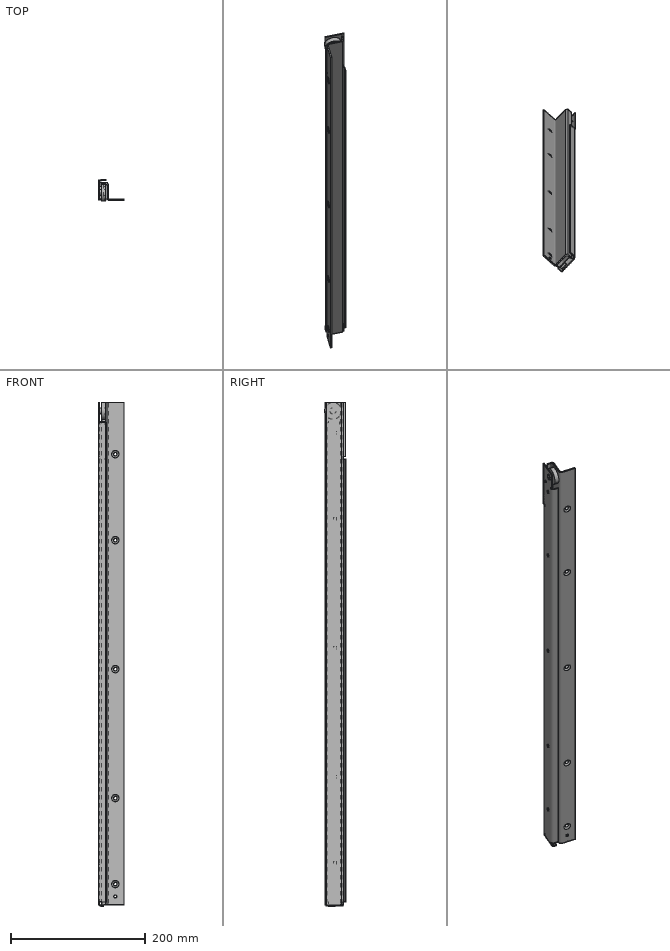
import cadquery as cq
import math

length = 750.0
overall_width = 38.5
overall_depth = 31.75

rail_sheet = 1.5
rail_bend_radius = 4.0
rail_bottom = 1.75
rail_lip_reach = 11.3
web_top_edge = 31.2
lip_foot = 6.5
lower_lip_end = 720.0
upper_lip_end = 665.5
low_bend_y = rail_bottom + rail_bend_radius
high_bend_y = overall_depth - rail_bend_radius

lower_relief_height = 2.0
upper_relief_height = 4.0

rail_foot = 0.5
end_tab_reach = 8.0
stop_foot_x = 4.0
stop_foot_width = 3.5
stop_foot_y = 5.5
stop_foot_depth = 10.0

inner_rail_foot = rail_foot + rail_sheet
wall_x = 13.0
inner_sheet = 2.0
inner_bend_radius = 3.3
flange_bottom = 1.0
shoulder_foot_y = 25.0
shoulder_top_y = 28.0
shoulder_top_x = 13.0
shoulder_inner_foot_y = 23.8
shoulder_inner_top_x = 10.5
inner_lip_x = 5.0

roller_radius = 12.5
roller_x = 4.5
roller_width = 6.5
axle_radius = 4.5
roller_y = roller_radius
roller_z = length - roller_radius
roller_end_x = roller_x + roller_width

pin_radius = 1.8
pin_y = 23.8
pin_z = 719.5
pin_length = 10.5

grid = 32.0
hole_steps = (0, 4, 10, 16, 20)
first_web_hole_z = 65.0
web_hole_diameter = 5.0
web_hole_y = 15.6
first_flange_hole_z = first_web_hole_z - grid
flange_hole_x = 25.3
screw_hole_diameter = 5.0
screw_head_diameter = 10.8
locating_hole_diameter = 4.0
locating_hole_z = 14.7

half_arc = math.sqrt(0.5)


def box(x0, x1, y0, y1, z0, z1):
    """Box between two opposite corners."""
    return cq.Workplane("XY").box(x1 - x0, y1 - y0, z1 - z0, centered=False).translate((x0, y0, z0))


def x_cylinder(radius, x0, x1, y, z):
    """Cylinder along X."""
    return cq.Workplane("YZ", origin=(x0, y, z)).circle(radius).extrude(x1 - x0)


def folded_edge(plane, outer, inward, reach):
    """Section of sheet folded a quarter turn from the web to a flat edge.

    `outer` is the outer face of the flat edge, and `inward` (1 or -1) points from it into the channel.
    """
    inner_radius = rail_bend_radius - rail_sheet
    center = outer + inward * rail_bend_radius
    outer_mid = rail_bend_radius * half_arc
    inner_mid = inner_radius * half_arc
    inner_face = outer + inward * rail_sheet
    return (
        plane.moveTo(0, center)
        .threePointArc((rail_bend_radius - outer_mid, center - inward * outer_mid), (rail_bend_radius, outer))
        .lineTo(reach, outer)
        .lineTo(reach, inner_face)
        .lineTo(rail_bend_radius, inner_face)
        .threePointArc((rail_bend_radius - inner_mid, center - inward * inner_mid), (rail_sheet, center))
        .close()
    )


def rail_lip(outer_y, inward, lip_end):
    """Lip along one long edge of the outer rail."""
    plane = cq.Workplane("XY", origin=(0, 0, lip_foot))
    return folded_edge(plane, outer_y, inward, rail_lip_reach).extrude(lip_end - lip_foot)


def make_outer_rail():
    lower_flat_start = lower_lip_end + lower_relief_height
    upper_flat_start = upper_lip_end + upper_relief_height

    web_foot = rail_foot + rail_bend_radius
    rail = box(0, rail_sheet, low_bend_y, high_bend_y, web_foot, length)
    rail = rail.union(box(0, rail_sheet, rail_bottom, low_bend_y, lower_flat_start, length))
    rail = rail.union(box(0, rail_sheet, high_bend_y, web_top_edge, upper_flat_start, length))

    rail = rail.union(rail_lip(rail_bottom, 1, lower_lip_end))
    rail = rail.union(rail_lip(overall_depth, -1, upper_lip_end))

    tab_plane = cq.Workplane("XZ", origin=(0, high_bend_y, 0))
    tab = folded_edge(tab_plane, rail_foot, 1, end_tab_reach)
    rail = rail.union(tab.extrude(high_bend_y - rail_bottom))
    stop_foot = box(
        stop_foot_x, stop_foot_x + stop_foot_width,
        stop_foot_y, stop_foot_y + stop_foot_depth,
        0, rail_foot + rail_sheet,
    )
    rail = rail.union(stop_foot)

    for step in hole_steps:
        hole_z = first_web_hole_z + grid * step
        rail = rail.cut(x_cylinder(web_hole_diameter / 2, 0, rail_sheet, web_hole_y, hole_z))
    return rail


def flange_hole(diameter, z):
    """Straight hole through the mounting flange."""
    plane = cq.Workplane("XZ", origin=(flange_hole_x, flange_bottom, z))
    return plane.circle(diameter / 2).extrude(-inner_sheet)


def countersink(z):
    """Cone from the screw head at the outer face to the screw hole at the inner face."""
    cone = cq.Solid.makeCone(
        screw_head_diameter / 2,
        screw_hole_diameter / 2,
        inner_sheet,
        cq.Vector(flange_hole_x, flange_bottom, z),
        cq.Vector(0, 1, 0),
    )
    return cq.Workplane(obj=cone)


def make_inner_rail():
    inner_radius = inner_bend_radius - inner_sheet
    outer_mid = inner_bend_radius * half_arc
    inner_mid = inner_radius * half_arc
    bend_x = wall_x + inner_bend_radius
    bend_y = flange_bottom + inner_bend_radius
    wall_right = wall_x + inner_sheet
    flange_top = flange_bottom + inner_sheet
    lip_underside = shoulder_top_y - inner_sheet
    rail = (
        cq.Workplane("XY", origin=(0, 0, inner_rail_foot))
        .moveTo(overall_width, flange_bottom)
        .lineTo(bend_x, flange_bottom)
        .threePointArc((bend_x - outer_mid, bend_y - outer_mid), (wall_x, bend_y))
        .lineTo(wall_x, shoulder_inner_foot_y)
        .lineTo(shoulder_inner_top_x, lip_underside)
        .lineTo(inner_lip_x, lip_underside)
        .lineTo(inner_lip_x, shoulder_top_y)
        .lineTo(shoulder_top_x, shoulder_top_y)
        .lineTo(wall_right, shoulder_foot_y)
        .lineTo(wall_right, bend_y)
        .threePointArc((bend_x - inner_mid, bend_y - inner_mid), (bend_x, flange_top))
        .lineTo(overall_width, flange_top)
        .close()
        .extrude(length - inner_rail_foot)
    )
    for step in hole_steps:
        rail = rail.cut(countersink(first_flange_hole_z + grid * step))
    return rail.cut(flange_hole(locating_hole_diameter, locating_hole_z))


axle = x_cylinder(axle_radius, 0, roller_end_x, roller_y, roller_z)
roller = x_cylinder(roller_radius, roller_x, roller_end_x, roller_y, roller_z).cut(axle)
stop_pin = x_cylinder(pin_radius, 0, pin_length, pin_y, pin_z)

outer_rail = make_outer_rail().cut(axle).cut(stop_pin)
inner_rail = make_inner_rail()

result = cq.Compound.makeCompound(
    [outer_rail.val(), inner_rail.val(), roller.val(), axle.val(), stop_pin.val()]
)